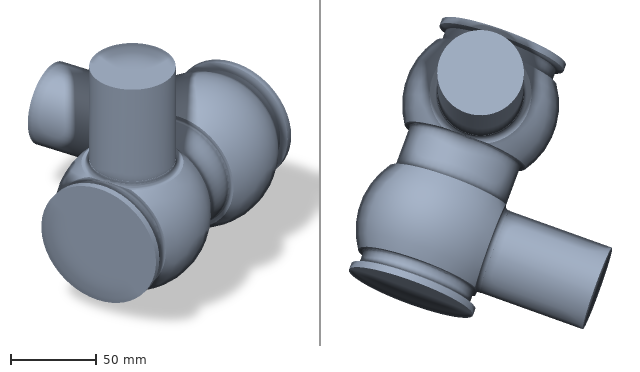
import cadquery as cq
import math

LENGTH = 159.0
TUBE_RADIUS = 34.5
FLANGE_RADIUS = 38.8
FLANGE_RIM = 4.0
FLANGE_BACK = 1.5

BALL_RADIUS = 46.1
BALL_HALF_WIDTH = 26.4
BALL_OFFSET = LENGTH / 4
BALL_FILLET = 1.1

OUTER_SPAN = 148.0
PIPE_RADIUS = 25.5
PIPE_REACH = OUTER_SPAN - BALL_RADIUS
COLLAR_RADIUS = 25.6
COLLAR_TOP = 38.2
COLLAR_FILLET = 1.6
CAP_RADIUS = 29.9
CAP_HEIGHT = math.sqrt(BALL_RADIUS**2 - CAP_RADIUS**2)


def flanged_tube():
    """Solid tube with both end flanges, revolved about Y."""
    rim_y = LENGTH / 2 - FLANGE_RIM
    back_y = rim_y - FLANGE_BACK
    profile = (
        cq.Workplane("XY")
        .moveTo(0, -LENGTH / 2)
        .lineTo(FLANGE_RADIUS, -LENGTH / 2)
        .lineTo(FLANGE_RADIUS, -rim_y)
        .lineTo(TUBE_RADIUS, -back_y)
        .lineTo(TUBE_RADIUS, back_y)
        .lineTo(FLANGE_RADIUS, rim_y)
        .lineTo(FLANGE_RADIUS, LENGTH / 2)
        .lineTo(0, LENGTH / 2)
        .close()
    )
    return profile.revolve(360, (0, 0, 0), (0, 1, 0))


def ball():
    """Ball cut flat at both sides, with concave fillets down to the tube, revolved about Y."""
    face_radius = math.sqrt(BALL_RADIUS**2 - BALL_HALF_WIDTH**2)
    fillet_radius = TUBE_RADIUS + BALL_FILLET
    fillet_end = BALL_HALF_WIDTH + BALL_FILLET
    mid_step = BALL_FILLET * (1 - math.sqrt(0.5))
    fillet_mid = (TUBE_RADIUS + mid_step, BALL_HALF_WIDTH + mid_step)
    profile = (
        cq.Workplane("XY")
        .moveTo(0, -fillet_end)
        .lineTo(TUBE_RADIUS, -fillet_end)
        .threePointArc((fillet_mid[0], -fillet_mid[1]), (fillet_radius, -BALL_HALF_WIDTH))
        .lineTo(face_radius, -BALL_HALF_WIDTH)
        .threePointArc((BALL_RADIUS, 0), (face_radius, BALL_HALF_WIDTH))
        .lineTo(fillet_radius, BALL_HALF_WIDTH)
        .threePointArc(fillet_mid, (TUBE_RADIUS, fillet_end))
        .lineTo(0, fillet_end)
        .close()
    )
    return profile.revolve(360, (0, 0, 0), (0, 1, 0))


def branch_pipe():
    """Pipe along +Z with its filleted collar, trimmed to the width of the ball."""
    mid_step = COLLAR_FILLET * (1 - math.sqrt(0.5))
    profile = (
        cq.Workplane("XZ")
        .lineTo(COLLAR_RADIUS + COLLAR_FILLET, 0)
        .lineTo(COLLAR_RADIUS + COLLAR_FILLET, CAP_HEIGHT)
        .threePointArc(
            (COLLAR_RADIUS + mid_step, CAP_HEIGHT + mid_step),
            (COLLAR_RADIUS, CAP_HEIGHT + COLLAR_FILLET),
        )
        .lineTo(COLLAR_RADIUS, COLLAR_TOP)
        .lineTo(PIPE_RADIUS, COLLAR_TOP)
        .lineTo(PIPE_RADIUS, PIPE_REACH)
        .lineTo(0, PIPE_REACH)
        .close()
    )
    pipe = profile.revolve(360, (0, 0, 0), (0, 1, 0))
    width_limit = cq.Workplane("XY").box(OUTER_SPAN, 2 * BALL_HALF_WIDTH, 2 * OUTER_SPAN)
    return pipe.intersect(width_limit)


def ball_unit():
    """Ball cut flat on top, with its branch pipe pointing along +Z."""
    above_cap = (
        cq.Workplane("XY")
        .workplane(offset=CAP_HEIGHT)
        .rect(2 * BALL_RADIUS, 2 * BALL_RADIUS)
        .extrude(BALL_RADIUS)
    )
    return ball().cut(above_cap).union(branch_pipe())


upright_unit = ball_unit().translate((0, -BALL_OFFSET, 0))
sideways_unit = ball_unit().rotate((0, 0, 0), (0, 1, 0), -90).translate((0, BALL_OFFSET, 0))

result = flanged_tube().union(upright_unit).union(sideways_unit)